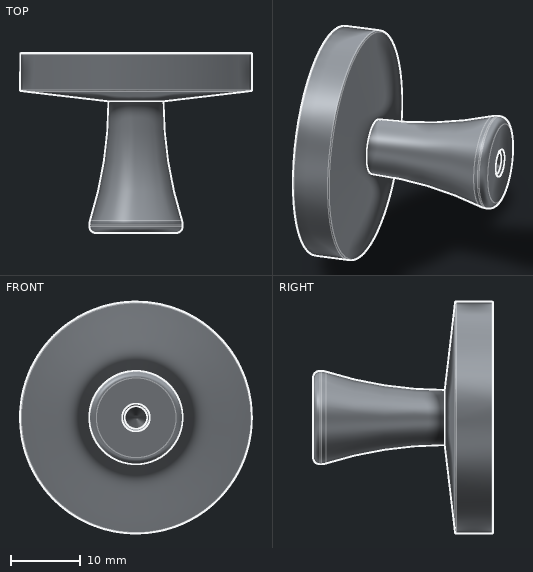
import cadquery as cq
import math


disc_radius = 33.5 / 2
rim_thickness = 5.5
rim_fillet = 0.2
cone_base = 7.0

total_length = 26.0
neck_radius = 4.0
head_radius = 13.5 / 2
end_fillet = 1.0
shoulder_fillet = 2.0
shoulder_position = 24.77

hole_diameter = 3.24
countersink_diameter = 4.0
hole_depth = 10.0
drill_tip_angle = 118.0


def point_on_circle(center, radius, angle):
    """Point at an angle measured from the radial direction toward the stem end."""
    return (
        center[0] + radius * math.cos(angle),
        center[1] + radius * math.sin(angle),
    )


def revolve_about_y(profile):
    """Turn a (radius, length) profile around the Y axis, with length running toward -Y."""
    turned = profile.close().revolve(360, (0, 0, 0), (0, 1, 0))
    return turned.rotate((0, 0, 0), (1, 0, 0), 180)


def make_disc():
    """Cylindrical rim with a shallow cone rising to the neck; both rim edges rounded."""
    profile = (
        cq.Workplane("XY")
        .lineTo(disc_radius, 0)
        .lineTo(disc_radius, rim_thickness)
        .lineTo(neck_radius, cone_base)
        .lineTo(0, cone_base)
    )
    disc = revolve_about_y(profile)
    rim_edges = cq.selectors.RadiusNthSelector(-1)
    return disc.edges(rim_edges).fillet(rim_fillet)


def make_stem():
    """Concave stem that starts parallel to the axis and blends into a rounded head."""
    flare_length = shoulder_position - cone_base
    growth = head_radius - neck_radius
    flare_radius = (flare_length**2 + growth**2 - 2 * growth * shoulder_fillet) / (
        2 * growth
    )
    flare_center = (neck_radius + flare_radius, cone_base)
    shoulder_center = (head_radius - shoulder_fillet, shoulder_position)
    blend_angle = math.asin(flare_length / (flare_radius + shoulder_fillet))

    flare_middle = point_on_circle(flare_center, flare_radius, math.pi - blend_angle / 2)
    flare_end = point_on_circle(flare_center, flare_radius, math.pi - blend_angle)
    shoulder_middle = point_on_circle(shoulder_center, shoulder_fillet, -blend_angle / 2)

    end_center = (head_radius - end_fillet, total_length - end_fillet)
    end_middle = point_on_circle(end_center, end_fillet, math.pi / 4)

    profile = (
        cq.Workplane("XY")
        .moveTo(0, rim_thickness)
        .lineTo(neck_radius, rim_thickness)
        .lineTo(neck_radius, cone_base)
        .threePointArc(flare_middle, flare_end)
        .threePointArc(shoulder_middle, (head_radius, shoulder_position))
        .lineTo(head_radius, total_length - end_fillet)
        .threePointArc(end_middle, (head_radius - end_fillet, total_length))
        .lineTo(0, total_length)
    )
    return revolve_about_y(profile)


def make_hole():
    """Blind drilled hole with a 45 degree countersink and a conical bottom."""
    hole_radius = hole_diameter / 2
    countersink_radius = countersink_diameter / 2
    countersink_depth = countersink_radius - hole_radius
    tip_length = hole_radius / math.tan(math.radians(drill_tip_angle / 2))
    bottom = total_length - hole_depth
    profile = (
        cq.Workplane("XY")
        .moveTo(0, total_length)
        .lineTo(countersink_radius, total_length)
        .lineTo(hole_radius, total_length - countersink_depth)
        .lineTo(hole_radius, bottom)
        .lineTo(0, bottom - tip_length)
    )
    return revolve_about_y(profile)


result = make_disc().union(make_stem()).cut(make_hole())